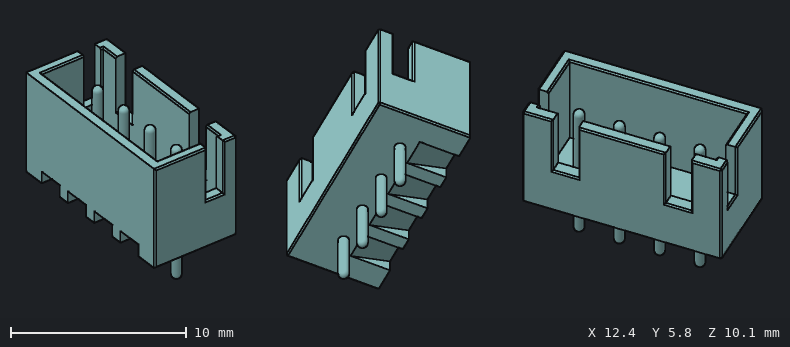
import cadquery as cq
import math

HOUSING_LENGTH = 12.4
HOUSING_DEPTH = 5.8
HOUSING_HEIGHT = 6.81
OVERALL_HEIGHT = 10.1
EDGE_CHAMFER = 0.1

END_WALL = 0.7
FRONT_WALL = 0.7
BACK_WALL = 0.79
FLOOR_THICKNESS = 1.0

END_SLOT_WIDTH = 1.2
END_SLOT_DEPTH = 3.6
END_SLOT_CENTRE_Y = 4.25
BACK_SLOT_WIDTH = 1.6
BACK_SLOT_DEPTH = 3.8
BACK_SLOT_SPACING = 7.0

PIN_COUNT = 4
PIN_PITCH = 2.5
PIN_DIAMETER = 0.65
PIN_CENTRE_Y = 3.32
PIN_TAIL = OVERALL_HEIGHT - HOUSING_HEIGHT
PIN_LENGTH = 9.1
NOTCH_WIDTH = 1.7
NOTCH_HEIGHT = 0.8
NOTCH_DEPTH = 2.48

PIN_XS = [(i - (PIN_COUNT - 1) / 2) * PIN_PITCH for i in range(PIN_COUNT)]
CAVITY_LENGTH = HOUSING_LENGTH - 2 * END_WALL
CAVITY_WIDTH = HOUSING_DEPTH - FRONT_WALL - BACK_WALL
CAVITY_CENTRE_Y = FRONT_WALL + CAVITY_WIDTH / 2


def hanging_box(length, width, depth, x, y):
    """Box that reaches down from the top of the housing, centred on (x, y)."""
    bottom = HOUSING_HEIGHT - depth
    plane = cq.Workplane("XY", origin=(x, y, bottom))
    return plane.box(length, width, depth, centered=(True, True, False))


def make_block():
    """Outer block with the wall slots, chamfered around its end and back faces."""
    block = cq.Workplane("XY").box(
        HOUSING_LENGTH, HOUSING_DEPTH, HOUSING_HEIGHT, centered=(True, False, False)
    )
    for side in (-1, 1):
        end_x = side * (HOUSING_LENGTH - END_WALL) / 2
        block = block.cut(hanging_box(END_WALL, END_SLOT_WIDTH, END_SLOT_DEPTH, end_x, END_SLOT_CENTRE_Y))
        back_x = side * BACK_SLOT_SPACING / 2
        back_y = HOUSING_DEPTH - BACK_WALL / 2
        block = block.cut(hanging_box(BACK_SLOT_WIDTH, BACK_WALL, BACK_SLOT_DEPTH, back_x, back_y))
    return block.faces("<X or >X or >Y").edges().chamfer(EDGE_CHAMFER)


def make_cavity():
    """Space inside the walls, widening at 45 degrees to form the chamfered rim."""
    cavity_depth = HOUSING_HEIGHT - FLOOR_THICKNESS
    cavity = hanging_box(CAVITY_LENGTH, CAVITY_WIDTH, cavity_depth, 0, CAVITY_CENTRE_Y)
    rim = (
        cq.Workplane("XY", origin=(0, CAVITY_CENTRE_Y, HOUSING_HEIGHT))
        .rect(CAVITY_LENGTH + 2 * EDGE_CHAMFER, CAVITY_WIDTH + 2 * EDGE_CHAMFER)
        .extrude(-EDGE_CHAMFER, taper=45)
    )
    return cavity.union(rim)


def make_notch(x):
    """Wedge open at the front and underneath, with a ceiling that slopes down towards the pin."""
    return (
        cq.Workplane("YZ", origin=(x - NOTCH_WIDTH / 2, 0, 0))
        .polyline([(0, 0), (NOTCH_DEPTH, 0), (0, NOTCH_HEIGHT)])
        .close()
        .extrude(NOTCH_WIDTH)
    )


def make_pin(x):
    """Round pin with a hemisphere at each end, revolved about its axis."""
    radius = PIN_DIAMETER / 2
    arc_offset = radius * math.sqrt(0.5)
    lower_centre = radius
    upper_centre = PIN_LENGTH - radius
    return (
        cq.Workplane("XZ", origin=(x, PIN_CENTRE_Y, -PIN_TAIL))
        .moveTo(0, 0)
        .threePointArc((arc_offset, lower_centre - arc_offset), (radius, lower_centre))
        .lineTo(radius, upper_centre)
        .threePointArc((arc_offset, upper_centre + arc_offset), (0, PIN_LENGTH))
        .close()
        .revolve(360, (0, 0), (0, 1))
    )


def make_housing():
    """Open-topped housing with a floor hole for each pin."""
    housing = make_block().cut(make_cavity())
    for x in PIN_XS:
        pin_hole = (
            cq.Workplane("XY", origin=(x, PIN_CENTRE_Y, 0))
            .circle(PIN_DIAMETER / 2)
            .extrude(FLOOR_THICKNESS)
        )
        housing = housing.cut(make_notch(x)).cut(pin_hole)
    return housing


housing = make_housing()
pins = [make_pin(x) for x in PIN_XS]

result = cq.Compound.makeCompound([housing.solids().val(), *[pin.solids().val() for pin in pins]])